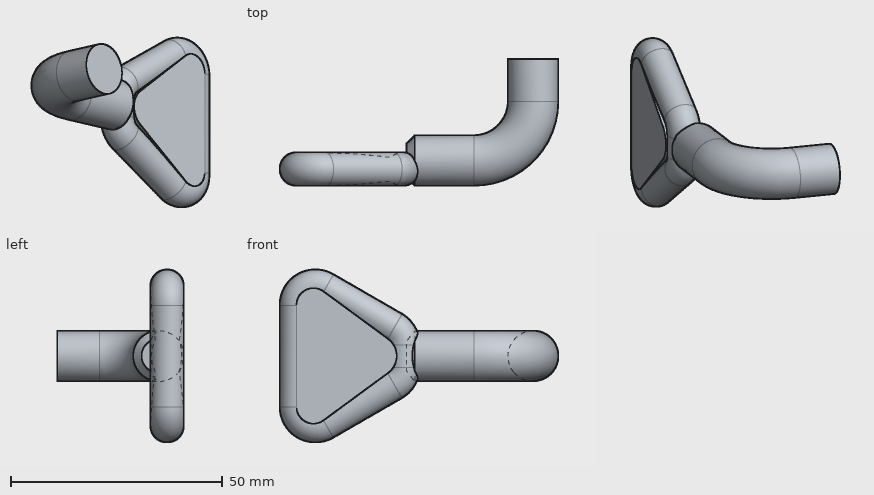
import cadquery as cq
import math

length = 66.0

bar_diameter = 8.0
bar_radius = bar_diameter / 2
ring_bend_radius = 4.5
left_half_straight = 12.0
right_half_straight = 2.65
side_slope = math.radians(30)

plate_corner_radius = 4.0
plate_tip_radius = 5.0
plate_tip_x = 22.7

pipe_diameter = 12.0
pipe_radius = pipe_diameter / 2
pipe_bend_radius = 14.0
pipe_start_x = 30.0
pipe_end_straight = 10.0
pipe_chamfer = 2.0
pipe_y = pipe_radius - bar_radius


def on_arc(center_x, center_z, radius, angle):
    """Point on a circle in the XZ plane at an angle from +X toward +Z."""
    return (center_x + radius * math.cos(angle), center_z + radius * math.sin(angle))


def mirrored(point):
    """Reflection of an XZ point across the middle plane Z = 0."""
    return (point[0], -point[1])


def make_ring():
    left_x = bar_radius
    corner_x = left_x + ring_bend_radius
    corner_rise = left_half_straight - right_half_straight
    right_corner_x = corner_x + corner_rise / math.tan(side_slope)
    right_x = right_corner_x + ring_bend_radius
    normal = math.pi / 2 - side_slope

    left_end = (left_x, left_half_straight)
    corner_mid = on_arc(corner_x, left_half_straight, ring_bend_radius, (math.pi + normal) / 2)
    side_start = on_arc(corner_x, left_half_straight, ring_bend_radius, normal)
    side_end = on_arc(right_corner_x, right_half_straight, ring_bend_radius, normal)
    right_mid = on_arc(right_corner_x, right_half_straight, ring_bend_radius, normal / 2)
    right_end = (right_x, right_half_straight)

    path = (
        cq.Workplane("XZ")
        .moveTo(left_x, 0)
        .lineTo(*left_end)
        .threePointArc(corner_mid, side_start)
        .lineTo(*side_end)
        .threePointArc(right_mid, right_end)
        .lineTo(*mirrored(right_end))
        .threePointArc(mirrored(right_mid), mirrored(side_end))
        .lineTo(*mirrored(side_start))
        .threePointArc(mirrored(corner_mid), mirrored(left_end))
        .close()
    )
    return cq.Workplane("XY").center(left_x, 0).circle(bar_radius).sweep(path)


def make_plate():
    left_x = bar_radius
    corner_x = left_x + plate_corner_radius
    run = plate_tip_x - corner_x
    normal = math.atan2(run, left_half_straight) + math.asin(
        (plate_tip_radius - plate_corner_radius) / math.hypot(run, left_half_straight)
    )
    left_end = (left_x, left_half_straight)
    corner_mid = on_arc(corner_x, left_half_straight, plate_corner_radius, (math.pi + normal) / 2)
    side_start = on_arc(corner_x, left_half_straight, plate_corner_radius, normal)
    side_end = on_arc(plate_tip_x, 0, plate_tip_radius, normal)
    tip = (plate_tip_x + plate_tip_radius, 0)
    return (
        cq.Workplane("XZ")
        .moveTo(*mirrored(left_end))
        .lineTo(*left_end)
        .threePointArc(corner_mid, side_start)
        .lineTo(*side_end)
        .threePointArc(tip, mirrored(side_end))
        .lineTo(*mirrored(side_start))
        .threePointArc(mirrored(corner_mid), mirrored(left_end))
        .close()
        .extrude(bar_radius, both=True)
    )


def make_pipe():
    end_x = length - pipe_radius
    bend_start_x = end_x - pipe_bend_radius
    bend_end_y = pipe_y + pipe_bend_radius
    bend_mid = on_arc(bend_start_x, bend_end_y, pipe_bend_radius, -math.pi / 4)
    path = (
        cq.Workplane("XY")
        .moveTo(pipe_start_x, pipe_y)
        .lineTo(bend_start_x, pipe_y)
        .threePointArc(bend_mid, (end_x, bend_end_y))
        .lineTo(end_x, bend_end_y + pipe_end_straight)
    )
    return (
        cq.Workplane("YZ", origin=(pipe_start_x, pipe_y, 0))
        .circle(pipe_radius)
        .sweep(path)
        .faces("<X")
        .chamfer(pipe_chamfer)
    )


result = make_ring().union(make_plate()).union(make_pipe())